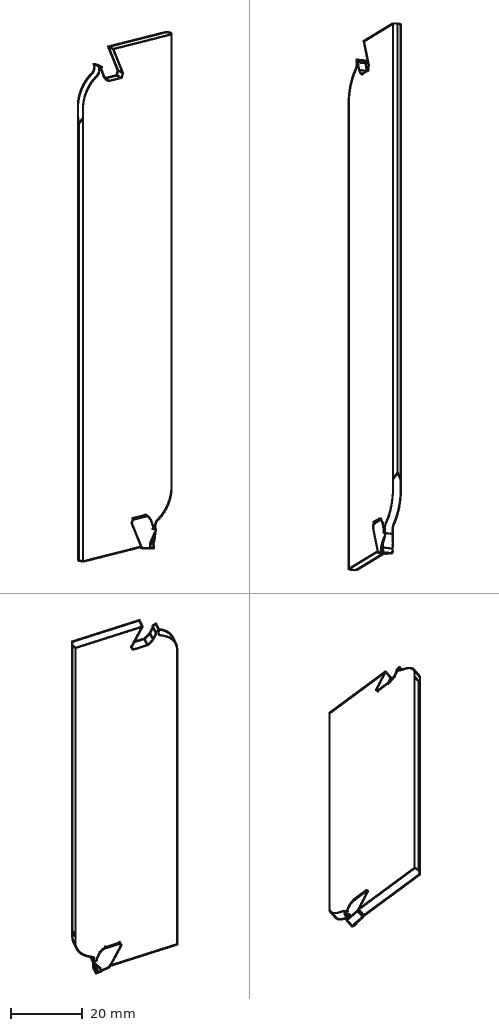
import cadquery as cq

BLADE_THICKNESS = 2.4
BLADE_WIDTH = 31.4
BLADE_LENGTH = 149.6
RIDGE_DEPTH = 0.5
HEAD_WIDTH = 3.0
LENGTH_OVER_INSERT = 151.0

HALF_WIDTH = BLADE_WIDTH / 2
SHOULDER = HALF_WIDTH - RIDGE_DEPTH
HALF_LENGTH = BLADE_LENGTH / 2
TIP_Z = HALF_LENGTH - LENGTH_OVER_INSERT

SEAT_FLOOR_Z = -65.7
SEAT_MOUTH = (4.8, -HALF_LENGTH)
SEAT_INNER = (1.5, -67.0)
SEAT_FLOOR_START = (2.0, SEAT_FLOOR_Z)
SEAT_FLOOR_END = (6.3, SEAT_FLOOR_Z)
SEAT_CORNER_START = (7.1, -66.3)
SEAT_CORNER_END = (8.0, -67.3)
SEAT_NECK = (8.9, -69.8)
NOSE_INNER = (8.8, -70.4)
NOSE_TIP = (9.8, -70.8)

CLAMPING_SIDE = [SEAT_CORNER_START, SEAT_CORNER_END, SEAT_NECK, NOSE_INNER, NOSE_TIP]

HOLLOW_START = (9.7, -70.0)
HOLLOW_END = (10.9, -67.8)
BULGE_END = (SHOULDER, -59.3)
RAMP_START = (SHOULDER, -56.6)
RAMP_END = (HALF_WIDTH, -54.8)

FLOOR_GAP = 0.5
CUTTING_TIP = (9.0, TIP_Z)
RAKE_TOP_Z = -71.7
RAKE_TOP = (9.7, RAKE_TOP_Z)
RAKE_HOLLOW = (8.8, -74.7)
CLEARANCE_END = (5.1, -75.3)
HEAD_BACK_TOP = (9.4, RAKE_TOP_Z)
HEAD_BACK_BEND = (7.9, -74.5)
FLARE_END_Z = -73.4
BEVEL_START_Z = -75.7
HEAD_BACK_BOTTOM = (7.7, BEVEL_START_Z)


def extrude_across(outline, width):
    """Prism of a YZ outline, centred on X = 0."""
    return outline.close().extrude(width / 2, both=True)


def ridged_bar():
    """Full-length bar whose two long edges are shallow V-shaped ridges."""
    half_thickness = BLADE_THICKNESS / 2
    section = [
        (half_thickness, -SHOULDER),
        (half_thickness, SHOULDER),
        (0, HALF_WIDTH),
        (-half_thickness, SHOULDER),
        (-half_thickness, -SHOULDER),
        (0, -HALF_WIDTH),
    ]
    bar = cq.Workplane("XY").workplane(offset=-HALF_LENGTH).polyline(section).close()
    return bar.extrude(BLADE_LENGTH)


def half_profile():
    """Closed side outline of the blade's lower half, up to its middle at Z = 0."""
    corners = [
        (-HALF_WIDTH, -HALF_LENGTH),
        SEAT_MOUTH,
        SEAT_INNER,
        SEAT_FLOOR_START,
        SEAT_FLOOR_END,
        *CLAMPING_SIDE,
        HOLLOW_START,
    ]
    bulge_width = BULGE_END[0] - HOLLOW_END[0]
    bulge_length = BULGE_END[1] - HOLLOW_END[1]
    bulge_radius = -(bulge_width**2 + bulge_length**2) / (2 * bulge_width)

    outline = cq.Workplane("YZ").moveTo(-HALF_WIDTH, 0)
    for corner in corners:
        outline = outline.lineTo(*corner)
    outline = outline.tangentArcPoint(HOLLOW_END, relative=False)
    outline = outline.radiusArc(BULGE_END, bulge_radius)
    return outline.lineTo(*RAMP_START).lineTo(*RAMP_END).lineTo(HALF_WIDTH, 0)


def make_blade():
    """Blade with two identical ends, half a turn about X apart."""
    lower_half = extrude_across(half_profile(), BLADE_THICKNESS)
    upper_half = lower_half.rotate((0, 0, 0), (1, 0, 0), 180)
    return ridged_bar().intersect(lower_half.union(upper_half)).clean()


def make_insert_head():
    """Wider part of the insert, flared above and bevelled at the cutting corners."""
    side_corners = [
        RAKE_TOP,
        RAKE_HOLLOW,
        CUTTING_TIP,
        HEAD_BACK_BOTTOM,
        HEAD_BACK_BEND,
        HEAD_BACK_TOP,
    ]
    side = cq.Workplane("YZ").polyline(side_corners)
    narrow = BLADE_THICKNESS / 2
    wide = HEAD_WIDTH / 2
    face = [
        (-narrow, RAKE_TOP_Z),
        (-wide, FLARE_END_Z),
        (-wide, BEVEL_START_Z),
        (-narrow, TIP_Z),
        (narrow, TIP_Z),
        (wide, BEVEL_START_Z),
        (wide, FLARE_END_Z),
        (narrow, RAKE_TOP_Z),
    ]
    flare = cq.Workplane("XZ").polyline(face).close().extrude(HALF_WIDTH, both=True)
    return extrude_across(side, HEAD_WIDTH).intersect(flare)


def make_insert():
    """Cutting insert: a body flush with the blade and a wider head at the cutting edge."""
    floor_z = SEAT_FLOOR_Z - FLOOR_GAP
    corners = [
        SEAT_MOUTH,
        SEAT_INNER,
        (SEAT_FLOOR_START[0], floor_z),
        (SEAT_FLOOR_END[0], floor_z),
        *CLAMPING_SIDE,
        RAKE_TOP,
        RAKE_HOLLOW,
        CUTTING_TIP,
        CLEARANCE_END,
    ]
    body = cq.Workplane("YZ").polyline(corners)
    return extrude_across(body, BLADE_THICKNESS).union(make_insert_head())


blade = make_blade()
insert = make_insert()
result = cq.Compound.makeCompound([blade.val(), insert.val()])